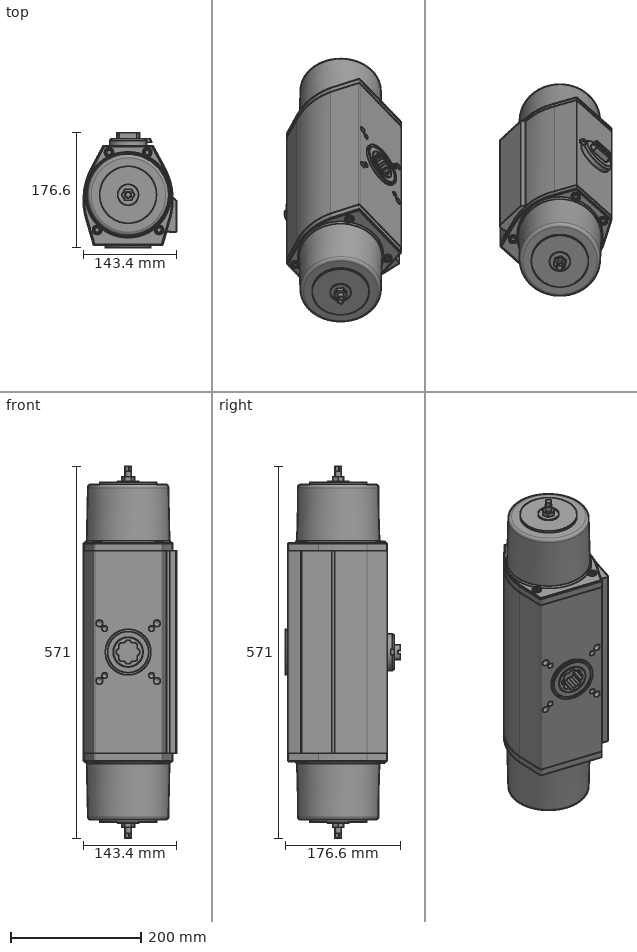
import cadquery as cq
import math


BODY_HALF_WIDTH = 69.0
BODY_TOP_Y = 75.5
BODY_BASE_Y = -77.5
TOP_HALF_WIDTH = 38.0
BASE_HALF_WIDTH = 53.0
BASE_CORNER_RADIUS = 2.0
SHOULDER_POINT = (55.0, 44.0)
BULGE_Y = -5.5
HIP_POINT = (66.5, -31.0)
BODY_HALF_LENGTH = 155.6

OVERALL_X = 143.33
RAIL_OUTER_X = OVERALL_X - BODY_HALF_WIDTH
RAIL_INNER_X = 50.0
RAIL_TOP_Y = -5.0
RAIL_BASE_Y = -57.5
RAIL_TOP_CHAMFER = 4.5
RAIL_BASE_CHAMFER = 1.5
RAIL_GROOVE_INNER_X = 59.2
RAIL_GROOVE_OUTER_X = 63.7
RAIL_GROOVE_DEPTH = 1.0

COVER_FACE_Z = 168.2
COVER_CHAMFER = 1.6
COVER_INSET = 0.3

HOUSING_SKIRT_RADIUS = 66.0
HOUSING_SKIRT_HEIGHT = 3.0
HOUSING_BASE_RADIUS = 63.8
HOUSING_TOP_RADIUS = 62.0
HOUSING_TOP_Z = 257.5
HOUSING_FILLET = 5.0
DISC_RADIUS = 43.7
DISC_HEIGHT = 3.5
WASHER_RADIUS = 16.0
WASHER_HEIGHT = 1.5

NUT_FLATS = 17.0
NUT_HEIGHT = 6.7
SCREW_RADIUS = 5.0
SCREW_END_Z = 285.5
SCREW_SQUARE = 7.8
SCREW_SQUARE_LENGTH = 7.5
SCREW_SQUARE_ANGLE = -30.0

UPPER_BOLT = (29.3, 65.0)
LOWER_BOLT = (47.5, -54.0)
BOLT_RADIUS = 7.0
BOLT_HEIGHT = 2.2
BOLT_CHAMFER = 1.2
BOLT_SOCKET_FLATS = 7.0
BOLT_SOCKET_DEPTH = 3.0

BOSS_RADIUS = 28.5
BOSS_STRAIGHT_TOP_Y = 83.0
BOSS_TOP_Y = 86.3
BOSS_TOP_RADIUS = 25.5
POINTER_TIP_X = 36.5
POINTER_ROOT_X = 21.0
POINTER_HALF_WIDTH = 4.0
POINTER_BASE_Y = 80.5
POINTER_TIP_CHAMFER = 3.0
SHAFT_RADIUS = 17.8
SHAFT_FLATS = 23.0
SHAFT_SLOT_WIDTH = 4.8
SHAFT_SLOT_DEPTH = 3.5
OVERALL_Y = 176.59

SPIGOT_RADIUS = 35.0
SPIGOT_HEIGHT = 3.6
SPIGOT_BORE_RADIUS = 31.5
SPIGOT_BORE_DEPTH = 1.0
SHAFT_RING_RADIUS = 23.0
SHAFT_RING_CHAMFER = 0.5
DRIVE_SQUARE = 28.5
DRIVE_CORNER_RADIUS = 18.0
DRIVE_DEPTH = 25.0
SMALL_HOLE_CIRCLE = 102.0
SMALL_HOLE_DIAMETER = 8.5
LARGE_HOLE_CIRCLE = 125.0
LARGE_HOLE_DIAMETER = 10.2
MOUNTING_HOLE_DEPTH = 16.0
DRILL_POINT_ANGLE = 118.0

SPIGOT_FACE_Y = BODY_BASE_Y - SPIGOT_HEIGHT
SHAFT_END_Y = SPIGOT_FACE_Y + OVERALL_Y


def body_prism(z, height, inset=0.0):
    """Prism on the section shared by body and covers, optionally shrunk by an inset."""
    shoulder_x, shoulder_y = SHOULDER_POINT
    hip_x, hip_y = HIP_POINT
    outline = (
        cq.Workplane("XY", origin=(0, 0, z))
        .moveTo(-BASE_HALF_WIDTH, BODY_BASE_Y)
        .lineTo(BASE_HALF_WIDTH, BODY_BASE_Y)
        .lineTo(hip_x, hip_y)
        .threePointArc((BODY_HALF_WIDTH, BULGE_Y), (shoulder_x, shoulder_y))
        .lineTo(TOP_HALF_WIDTH, BODY_TOP_Y)
        .lineTo(-TOP_HALF_WIDTH, BODY_TOP_Y)
        .lineTo(-shoulder_x, shoulder_y)
        .threePointArc((-BODY_HALF_WIDTH, BULGE_Y), (-hip_x, hip_y))
        .close()
    )
    if inset > 0:
        outline = outline.offset2D(-inset)
    prism = outline.extrude(height)
    base_corners = prism.faces("<Y").edges("|Z")
    return base_corners.fillet(BASE_CORNER_RADIUS)


def cylinder_along_y(radius, start_y, end_y):
    """Cylinder on the drive shaft axis between two Y positions."""
    direction = cq.Vector(0, 1, 0)
    solid = cq.Solid.makeCylinder(radius, end_y - start_y, cq.Vector(0, start_y, 0), direction)
    return cq.Workplane(obj=solid)


def make_body():
    body = body_prism(-BODY_HALF_LENGTH, 2 * BODY_HALF_LENGTH)
    rail = (
        cq.Workplane("XY", origin=(0, 0, -BODY_HALF_LENGTH))
        .moveTo(RAIL_INNER_X, RAIL_BASE_Y)
        .lineTo(RAIL_GROOVE_INNER_X, RAIL_BASE_Y)
        .lineTo(RAIL_GROOVE_INNER_X, RAIL_BASE_Y + RAIL_GROOVE_DEPTH)
        .lineTo(RAIL_GROOVE_OUTER_X, RAIL_BASE_Y + RAIL_GROOVE_DEPTH)
        .lineTo(RAIL_GROOVE_OUTER_X, RAIL_BASE_Y)
        .lineTo(RAIL_OUTER_X - RAIL_BASE_CHAMFER, RAIL_BASE_Y)
        .lineTo(RAIL_OUTER_X, RAIL_BASE_Y + RAIL_BASE_CHAMFER)
        .lineTo(RAIL_OUTER_X, RAIL_TOP_Y - RAIL_TOP_CHAMFER)
        .lineTo(RAIL_OUTER_X - RAIL_TOP_CHAMFER, RAIL_TOP_Y)
        .lineTo(RAIL_INNER_X, RAIL_TOP_Y)
        .close()
        .extrude(2 * BODY_HALF_LENGTH)
    )
    return body.union(rail)


def make_cover():
    cover = body_prism(BODY_HALF_LENGTH, COVER_FACE_Z - BODY_HALF_LENGTH, COVER_INSET)
    return cover.faces(">Z").chamfer(COVER_CHAMFER)


def make_housing():
    """Tapered spring housing with its flared skirt, end disc and washer."""
    skirt_top_z = COVER_FACE_Z + HOUSING_SKIRT_HEIGHT
    disc_z = HOUSING_TOP_Z + DISC_HEIGHT
    housing = (
        cq.Workplane("XZ")
        .moveTo(0, BODY_HALF_LENGTH)
        .lineTo(HOUSING_SKIRT_RADIUS, BODY_HALF_LENGTH)
        .lineTo(HOUSING_SKIRT_RADIUS, COVER_FACE_Z)
        .lineTo(HOUSING_BASE_RADIUS, skirt_top_z)
        .lineTo(HOUSING_TOP_RADIUS, HOUSING_TOP_Z)
        .lineTo(0, HOUSING_TOP_Z)
        .close()
        .revolve(360, (0, 0, 0), (0, 1, 0))
        .faces(">Z").edges().fillet(HOUSING_FILLET)
    )
    disc = cq.Workplane("XY", origin=(0, 0, HOUSING_TOP_Z)).circle(DISC_RADIUS).extrude(DISC_HEIGHT)
    washer = cq.Workplane("XY", origin=(0, 0, disc_z)).circle(WASHER_RADIUS).extrude(WASHER_HEIGHT)
    return housing.union(disc).union(washer)


def hexagon(plane, flats):
    """Hexagon with two corners on the X axis, given its width across flats."""
    return plane.polygon(6, flats / math.cos(math.pi / 6))


def make_adjusting_screw():
    """Lock nut and stop screw whose tip has four flats in a square."""
    nut_z = HOUSING_TOP_Z + DISC_HEIGHT + WASHER_HEIGHT
    square_z = SCREW_END_Z - SCREW_SQUARE_LENGTH
    nut = hexagon(cq.Workplane("XY", origin=(0, 0, nut_z)), NUT_FLATS).extrude(NUT_HEIGHT)
    stem = cq.Workplane("XY", origin=(0, 0, nut_z)).circle(SCREW_RADIUS).extrude(square_z - nut_z)
    tip_round = (
        cq.Workplane("XY", origin=(0, 0, square_z)).circle(SCREW_RADIUS).extrude(SCREW_SQUARE_LENGTH)
    )
    tip_square = (
        cq.Workplane("XY", origin=(0, 0, square_z))
        .rect(SCREW_SQUARE, SCREW_SQUARE)
        .extrude(SCREW_SQUARE_LENGTH)
        .rotate((0, 0, 0), (0, 0, 1), SCREW_SQUARE_ANGLE)
    )
    return nut.union(stem).union(tip_square.intersect(tip_round))


def make_cover_bolt(x, y):
    """Socket head seated in the cover and standing slightly proud of it."""
    top_z = COVER_FACE_Z + BOLT_HEIGHT
    head = (
        cq.Workplane("XY", origin=(x, y, BODY_HALF_LENGTH))
        .circle(BOLT_RADIUS)
        .extrude(top_z - BODY_HALF_LENGTH)
        .faces(">Z").chamfer(BOLT_CHAMFER)
    )
    socket_plane = cq.Workplane("XY", origin=(x, y, top_z - BOLT_SOCKET_DEPTH))
    return head.cut(hexagon(socket_plane, BOLT_SOCKET_FLATS).extrude(BOLT_SOCKET_DEPTH))


def make_end():
    """Everything beyond the upper end of the body."""
    end = make_cover().union(make_housing()).union(make_adjusting_screw())
    for x, y in (UPPER_BOLT, LOWER_BOLT):
        for side in (-1, 1):
            hole = cq.Workplane("XY", origin=(side * x, y, BODY_HALF_LENGTH)).circle(BOLT_RADIUS)
            end = end.cut(hole.extrude(COVER_FACE_Z - BODY_HALF_LENGTH))
            end = end.union(make_cover_bolt(side * x, y))
    return end


def make_shaft_top():
    """Bearing boss, pointer and slotted shaft end above the body."""
    boss = (
        cq.Workplane("XY")
        .moveTo(0, 0)
        .lineTo(BOSS_RADIUS, 0)
        .lineTo(BOSS_RADIUS, BOSS_STRAIGHT_TOP_Y)
        .lineTo(BOSS_TOP_RADIUS, BOSS_TOP_Y)
        .lineTo(0, BOSS_TOP_Y)
        .close()
        .revolve(360, (0, 0, 0), (0, 1, 0))
    )
    pointer = (
        cq.Workplane("XY", origin=(0, 0, -POINTER_HALF_WIDTH))
        .moveTo(POINTER_ROOT_X, POINTER_BASE_Y)
        .lineTo(POINTER_TIP_X, POINTER_BASE_Y)
        .lineTo(POINTER_TIP_X - POINTER_TIP_CHAMFER, BOSS_TOP_Y)
        .lineTo(POINTER_ROOT_X, BOSS_TOP_Y)
        .close()
        .extrude(2 * POINTER_HALF_WIDTH)
    )
    flats = cq.Workplane("XY").box(2 * SHAFT_RADIUS, 2 * SHAFT_END_Y, SHAFT_FLATS)
    shaft = cylinder_along_y(SHAFT_RADIUS, 0, SHAFT_END_Y).intersect(flats)
    slot = cq.Workplane("XY", origin=(0, SHAFT_END_Y, 0)).box(
        2 * SHAFT_RADIUS, 2 * SHAFT_SLOT_DEPTH, SHAFT_SLOT_WIDTH
    )
    return boss.union(pointer).union(shaft.cut(slot))


def add_spigot(part):
    """Centring spigot with a shallow recess around the shaft's lower end."""
    recess_y = SPIGOT_FACE_Y + SPIGOT_BORE_DEPTH
    recess = cylinder_along_y(SPIGOT_BORE_RADIUS, SPIGOT_FACE_Y, recess_y)
    ring = cylinder_along_y(SHAFT_RING_RADIUS, SPIGOT_FACE_Y, recess_y)
    ring = ring.faces("<Y").chamfer(SHAFT_RING_CHAMFER)
    spigot = cylinder_along_y(SPIGOT_RADIUS, SPIGOT_FACE_Y, 0)
    return part.union(spigot).cut(recess).union(ring)


def make_drive_socket():
    """Eight-pointed socket: two squares at 45 degrees with rounded corners."""
    start_y = SPIGOT_FACE_Y
    square = cq.Workplane("XY", origin=(0, start_y + DRIVE_DEPTH / 2, 0)).box(
        DRIVE_SQUARE, DRIVE_DEPTH, DRIVE_SQUARE
    )
    star = square.union(square.rotate((0, 0, 0), (0, 1, 0), 45))
    return star.intersect(cylinder_along_y(DRIVE_CORNER_RADIUS, start_y, start_y + DRIVE_DEPTH))


def cut_mounting_holes(part, circle_diameter, hole_diameter):
    """Four blind drilled holes on the diagonals of the mounting face."""
    offset = circle_diameter / 2 * math.cos(math.pi / 4)
    radius = hole_diameter / 2
    point_length = radius / math.tan(math.radians(DRILL_POINT_ANGLE / 2))
    hole_end_y = BODY_BASE_Y + MOUNTING_HOLE_DEPTH
    hole = (
        cq.Workplane("XY")
        .moveTo(0, BODY_BASE_Y)
        .lineTo(radius, BODY_BASE_Y)
        .lineTo(radius, hole_end_y)
        .lineTo(0, hole_end_y + point_length)
        .close()
        .revolve(360, (0, 0, 0), (0, 1, 0))
    )
    for x in (-offset, offset):
        for z in (-offset, offset):
            part = part.cut(hole.translate((x, 0, z)))
    return part


upper_end = make_end()
result = make_body().union(upper_end).union(upper_end.mirror("XY")).union(make_shaft_top())
result = add_spigot(result).cut(make_drive_socket())
result = cut_mounting_holes(result, SMALL_HOLE_CIRCLE, SMALL_HOLE_DIAMETER)
result = cut_mounting_holes(result, LARGE_HOLE_CIRCLE, LARGE_HOLE_DIAMETER)